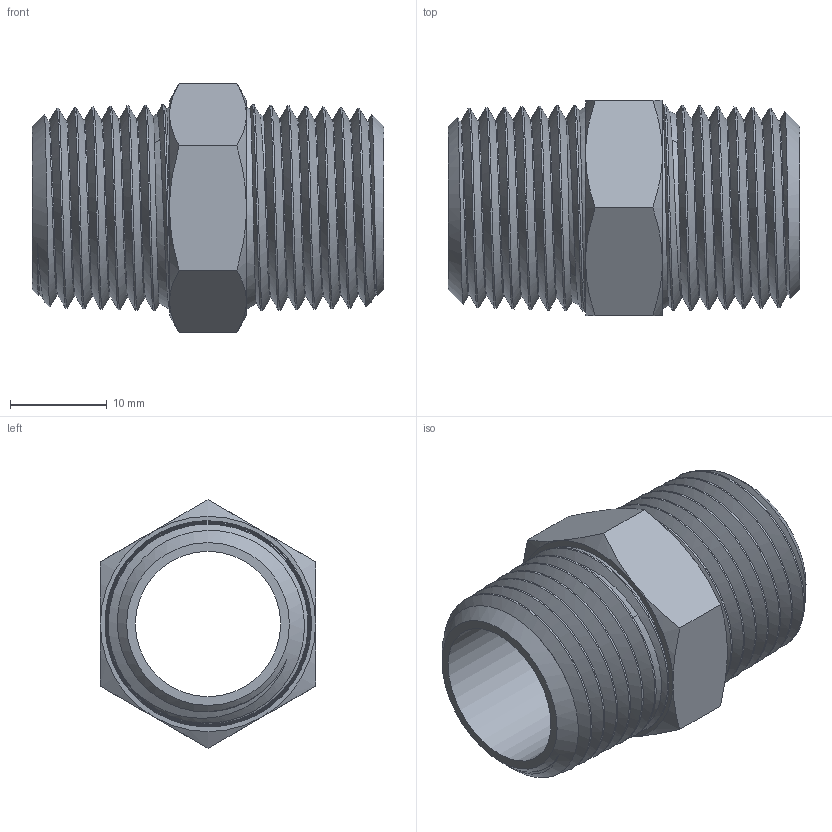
import cadquery as cq
import math


length = 36.32
bore_diameter = 15.0
end_x = -length / 2

across_flats = 22.225
hex_half_angle = math.pi / 6
across_corners = across_flats / math.cos(hex_half_angle)
hex_width = 7.94
hex_face_x = -hex_width / 2
hex_chamfer_angle = math.radians(30)
hex_face_radius = across_flats / 2

pitch = 25.4 / 14
taper_per_length = 1 / 32
taper_angle = math.degrees(math.atan(taper_per_length))
major_radius_at_hex = 21.34 / 2
thread_depth = 1.3
crest_width = 0.18
flank_half_angle = math.radians(30)
first_crest_offset = -0.1

end_radius = 8.4
flare_radius_at_hex = 10.45
flare_slope = math.tan(math.radians(30))
flare_seam_angle = 45

groove_overrun = 0.08
clearance = 3.0


def crest_radius(x):
    """Radius of the thread crest cone on the -X side."""
    return major_radius_at_hex - (hex_face_x - x) * taper_per_length


def revolve_about_x(points):
    """Solid of revolution about X from (x, radius) points."""
    return cq.Workplane("XZ").polyline(points).close().revolve(360, (0, 0, 0), (1, 0, 0))


def make_hexagon():
    """Hexagon with corners on the Z axis and both faces chamfered to a circle."""
    prism = (
        cq.Workplane("YZ")
        .polygon(6, across_corners)
        .extrude(hex_width / 2, both=True)
        .rotate((0, 0, 0), (1, 0, 0), 90)
    )
    outer_radius = across_corners / 2 + clearance
    cone_x = hex_face_x + (outer_radius - hex_face_radius) * math.tan(hex_chamfer_angle)
    chamfer_cones = revolve_about_x([
        (hex_face_x, 0),
        (hex_face_x, hex_face_radius),
        (cone_x, outer_radius),
        (-cone_x, outer_radius),
        (-hex_face_x, hex_face_radius),
        (-hex_face_x, 0),
    ])
    return prism.intersect(chamfer_cones)


def make_crest_cone():
    """Unthreaded taper at full crest size, running past both limits of the thread."""
    outer_x = end_x - 2 * pitch
    return revolve_about_x([
        (outer_x, 0),
        (outer_x, crest_radius(outer_x)),
        (0, crest_radius(0)),
        (0, 0),
    ])


def make_groove():
    """Right-hand tapered helical groove, from past the end face into the hexagon."""
    start_x = end_x + first_crest_offset - 1.5 * pitch
    turns = math.ceil((hex_face_x - start_x) / pitch) + 1
    start_radius = crest_radius(start_x)
    top_half_width = (pitch - crest_width) / 2
    root_half_width = top_half_width - thread_depth * math.tan(flank_half_angle)
    mouth_half_width = top_half_width + groove_overrun * math.tan(flank_half_angle)

    path = cq.Wire.makeHelix(
        pitch,
        turns * pitch,
        start_radius,
        cq.Vector(0, 0, start_x),
        cq.Vector(0, 0, 1),
        taper_angle,
    )
    profile = cq.Workplane("XZ").polyline([
        (start_radius - thread_depth, start_x - root_half_width),
        (start_radius + groove_overrun, start_x - mouth_half_width),
        (start_radius + groove_overrun, start_x + mouth_half_width),
        (start_radius - thread_depth, start_x + root_half_width),
    ]).close()
    groove = profile.sweep(cq.Workplane(obj=path), isFrenet=True)
    return groove.rotate((0, 0, 0), (0, 1, 0), 90)


def make_flare():
    """Cone that closes the last groove turn where the thread runs out at the hexagon."""
    flare_start_radius = crest_radius(hex_face_x) - 2 * thread_depth
    flare_start_x = hex_face_x - (flare_radius_at_hex - flare_start_radius) / flare_slope
    flare = revolve_about_x([
        (flare_start_x, 0),
        (flare_start_x, flare_start_radius),
        (hex_face_x, flare_radius_at_hex),
        (0, flare_radius_at_hex),
        (0, 0),
    ])
    return flare.rotate((0, 0, 0), (1, 0, 0), flare_seam_angle)


def make_end_envelope():
    """Space allowed to one thread: a 45 degree chamfer at the end, stopping inside the hexagon."""
    outer_radius = major_radius_at_hex + clearance
    stop_x = hex_face_x + pitch
    return revolve_about_x([
        (end_x, 0),
        (end_x, end_radius),
        (end_x + outer_radius - end_radius, outer_radius),
        (stop_x, outer_radius),
        (stop_x, 0),
    ])


threaded_cone = make_crest_cone().cut(make_groove())
left_end = threaded_cone.union(make_flare()).intersect(make_end_envelope())
right_end = left_end.rotate((0, 0, 0), (0, 0, 1), 180)
bore = cq.Workplane("YZ").circle(bore_diameter / 2).extrude(length, both=True)

result = make_hexagon().union(left_end).union(right_end).cut(bore)